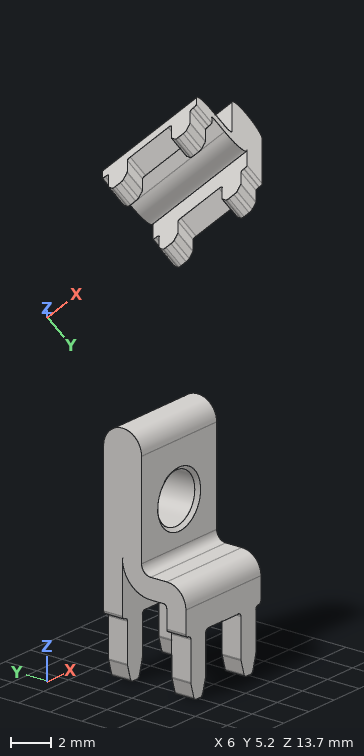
import cadquery as cq
import math

width = 6.0
depth = 5.2
height = 13.7
sheet = 1.2

step_top_z = 6.2
concave_radius = 0.58
crevice_radius = concave_radius + sheet
shoulder_radius = 1.2
inner_corner_radius = 0.2

pin_width = sheet
pin_inset = 0.4
pin_root_z = 3.51
root_radius = 0.19
taper_height = 1.0
taper_inset = 0.29
knee_radius = 0.2
tip_radius = 0.2

hole_diameter = 3.0
hole_z = 9.3
hole_chamfer = 0.2

back_y = sheet
fold_front_y = -sheet
step_front_y = back_y - depth
step_inner_y = step_front_y + sheet
bend_y = fold_front_y - concave_radius
bend_z = step_top_z + concave_radius
step_bottom_z = step_top_z - sheet
diagonal = math.sqrt(0.5)


def folded_strip():
    """Side profile of the folded sheet, extruded over the full width."""
    profile = (
        cq.Workplane("YZ")
        .moveTo(back_y, 0)
        .lineTo(back_y, height - sheet)
        .threePointArc((0, height), (fold_front_y, height - sheet))
        .lineTo(fold_front_y, bend_z)
        .threePointArc(
            (bend_y + concave_radius * diagonal, bend_z - concave_radius * diagonal),
            (bend_y, step_top_z),
        )
        .lineTo(step_front_y + shoulder_radius, step_top_z)
        .threePointArc(
            (
                step_front_y + shoulder_radius * (1 - diagonal),
                step_top_z - shoulder_radius * (1 - diagonal),
            ),
            (step_front_y, step_top_z - shoulder_radius),
        )
        .lineTo(step_front_y, 0)
        .lineTo(step_inner_y, 0)
        .lineTo(step_inner_y, step_bottom_z - inner_corner_radius)
        .threePointArc(
            (
                step_inner_y + inner_corner_radius * (1 - diagonal),
                step_bottom_z - inner_corner_radius * (1 - diagonal),
            ),
            (step_inner_y + inner_corner_radius, step_bottom_z),
        )
        .lineTo(bend_y, step_bottom_z)
        .threePointArc(
            (bend_y + crevice_radius * diagonal, bend_z - crevice_radius * diagonal),
            (0, bend_z),
        )
        .lineTo(0, 0)
        .close()
    )
    return profile.extrude(width / 2, both=True)


def pin_outline():
    """Front outline with two tapered pins, extruded through the full depth."""
    pin_outer_x = width / 2 - pin_inset
    pin_inner_x = pin_outer_x - pin_width
    right_side = [
        (width / 2, height),
        (width / 2, pin_root_z),
        (pin_outer_x, pin_root_z),
        (pin_outer_x, taper_height),
        (pin_outer_x - taper_inset, 0),
        (pin_inner_x + taper_inset, 0),
        (pin_inner_x, taper_height),
        (pin_inner_x, pin_root_z),
    ]
    left_side = [(-x, z) for x, z in reversed(right_side)]
    block = (
        cq.Workplane("XZ", origin=(0, back_y, 0))
        .polyline(right_side + left_side)
        .close()
        .extrude(depth)
    )
    margin = root_radius / 2
    root_zone = cq.selectors.BoxSelector(
        (-width, -depth, pin_root_z - margin), (width, depth, pin_root_z + margin)
    )
    tip_zone = cq.selectors.BoxSelector(
        (-width, -depth, -margin), (width, depth, margin)
    )
    knee_zone = cq.selectors.BoxSelector(
        (-width, -depth, taper_height - margin), (width, depth, taper_height + margin)
    )
    block = block.edges("|Y").edges(root_zone).fillet(root_radius)
    block = block.edges("|Y").edges(knee_zone).fillet(knee_radius)
    return block.edges("|Y").edges(tip_zone).fillet(tip_radius)


def screw_hole():
    """Through hole cutter, countersunk on the front face of the fold."""
    front = cq.Workplane("XZ", origin=(0, fold_front_y, hole_z))
    bore = front.circle(hole_diameter / 2).extrude(-2 * sheet)
    sink = cq.Solid.makeCone(
        hole_diameter / 2 + hole_chamfer,
        hole_diameter / 2,
        hole_chamfer,
        pnt=cq.Vector(0, fold_front_y, hole_z),
        dir=cq.Vector(0, 1, 0),
    )
    return bore.union(cq.Workplane(obj=sink))


result = folded_strip().intersect(pin_outline()).cut(screw_hole())